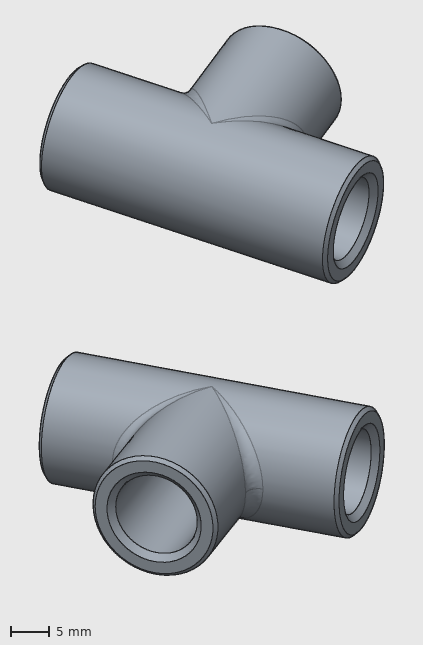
import cadquery as cq

run_length = 42.0
outer_diameter = 17.5
bore_diameter = 11.42
mouth_diameter = 13.2
rim_chamfer = 0.5
crotch_radius = 1.75
branch_reach = 21.0

half_run = run_length / 2
mouth_chamfer = (mouth_diameter - bore_diameter) / 2


def run_cylinder(diameter):
    """Cylinder over the full run, centred on the origin."""
    return cq.Workplane("YZ").circle(diameter / 2).extrude(half_run, both=True)


def branch_cylinder(diameter):
    """Cylinder from the run axis to the branch end."""
    return cq.Workplane("XZ").circle(diameter / 2).extrude(-branch_reach)


def outer_body():
    """Joined pipes with chamfered rims and rounded inside corners."""
    run = run_cylinder(outer_diameter).faces("|X").edges().chamfer(rim_chamfer)
    branch = branch_cylinder(outer_diameter).faces(">Y").edges().chamfer(rim_chamfer)
    body = run.union(branch)
    corners = body.edges("%ELLIPSE")
    return corners.fillet(crotch_radius)


def bores():
    """Connected bores with a conical widening at each of the three mouths."""
    cutter = run_cylinder(bore_diameter).union(branch_cylinder(bore_diameter))
    ends = (
        ((-half_run, 0, 0), (1, 0, 0)),
        ((half_run, 0, 0), (-1, 0, 0)),
        ((0, branch_reach, 0), (0, -1, 0)),
    )
    for centre, inward in ends:
        cone = cq.Solid.makeCone(
            mouth_diameter / 2,
            bore_diameter / 2,
            mouth_chamfer,
            pnt=cq.Vector(*centre),
            dir=cq.Vector(*inward),
        )
        cutter = cutter.union(cq.Workplane(cone))
    return cutter


result = outer_body().cut(bores())